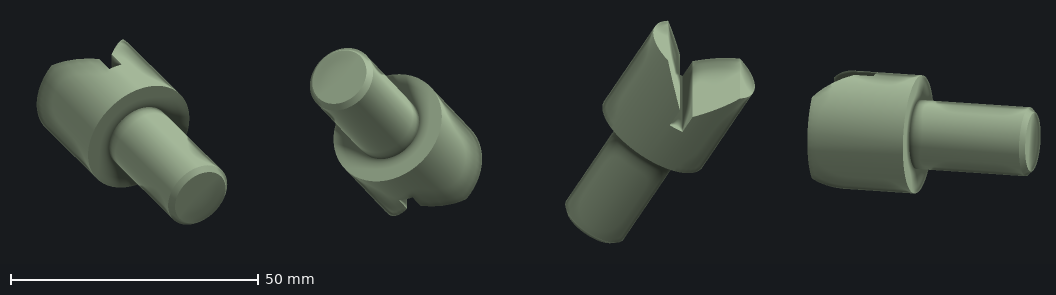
import cadquery as cq

total_length = 44.0
head_length = 20.0
head_diameter = 24.0
shank_diameter = 14.0
end_chamfer = 1.0
slot_width = 3.0
slot_depth = 11.0
vee_mouth_width = 17.0

vee_depth = (vee_mouth_width - slot_width) / 2


def make_turned_body():
    """Head with a thinner shank, chamfered at the free end."""
    head = cq.Workplane("YZ").circle(head_diameter / 2).extrude(head_length)
    shank = (
        cq.Workplane("YZ")
        .workplane(offset=head_length)
        .circle(shank_diameter / 2)
        .extrude(total_length - head_length)
        .faces(">X")
        .chamfer(end_chamfer)
    )
    return head.union(shank)


def make_notch():
    """Vee running into a narrow slot, cut through the whole head along Z."""
    return (
        cq.Workplane("XY")
        .moveTo(0, vee_mouth_width / 2)
        .lineTo(vee_depth, slot_width / 2)
        .lineTo(slot_depth, slot_width / 2)
        .lineTo(slot_depth, -slot_width / 2)
        .lineTo(vee_depth, -slot_width / 2)
        .lineTo(0, -vee_mouth_width / 2)
        .close()
        .extrude(head_diameter / 2, both=True)
    )


result = make_turned_body().cut(make_notch())